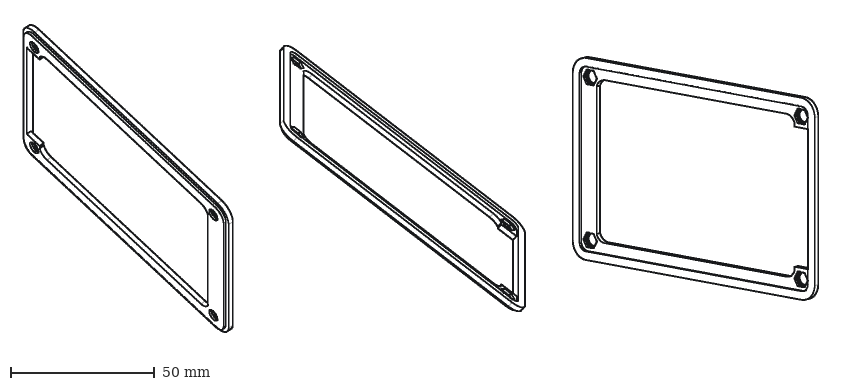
import cadquery as cq
import math

length = 110.0
height = 72.0
corner_radius = 6.0
flange_thickness = 2.0

step_inset = 1.5
step_thickness = 1.0
total_thickness = flange_thickness + step_thickness

hole_diameter = 4.5
hole_x = 48.0
hole_z = 29.0

window_half_length = 45.0
window_half_height = hole_z
window_arc_radius = 4.0
window_corner_drop = 2.8

notch_end_x = -51.9
notch_half_height = 25.0

rim_width = length / 2 + notch_end_x
recess_depth = 1.0
web_thickness = total_thickness - recess_depth

nut_across_flats = 5.3
nut_pocket_depth = 1.0
nut_across_corners = nut_across_flats / math.cos(math.pi / 6)

back_face_y = total_thickness / 2
recess_floor_y = back_face_y - recess_depth


def plate(inset, back_y, thickness):
    """Rounded plate whose rear face is at back_y, extending toward -Y."""
    return (
        cq.Workplane("XZ", origin=(0, back_y, 0))
        .rect(length - 2 * inset, height - 2 * inset)
        .extrude(thickness)
        .edges("|Y")
        .fillet(corner_radius - inset)
    )


def window_cutter():
    """Window opening with a truncated round at each corner and the notch at -X."""
    side_z = window_half_height - window_corner_drop
    arc_center_z = window_half_height - window_arc_radius
    end_angle = math.asin((side_z - arc_center_z) / window_arc_radius)
    arc_run = window_arc_radius * math.cos(end_angle)
    flat_x = window_half_length - arc_run
    mid_angle = (end_angle + math.pi / 2) / 2
    mid_x = flat_x + window_arc_radius * math.cos(mid_angle)
    mid_z = arc_center_z + window_arc_radius * math.sin(mid_angle)

    return (
        cq.Workplane("XZ", origin=(0, back_face_y, 0))
        .moveTo(-flat_x, window_half_height)
        .lineTo(flat_x, window_half_height)
        .threePointArc((mid_x, mid_z), (window_half_length, side_z))
        .lineTo(window_half_length, -side_z)
        .threePointArc((mid_x, -mid_z), (flat_x, -window_half_height))
        .lineTo(-flat_x, -window_half_height)
        .threePointArc((-mid_x, -mid_z), (-window_half_length, -side_z))
        .lineTo(-window_half_length, -notch_half_height)
        .lineTo(notch_end_x, -notch_half_height)
        .lineTo(notch_end_x, notch_half_height)
        .lineTo(-window_half_length, notch_half_height)
        .lineTo(-window_half_length, side_z)
        .threePointArc((-mid_x, mid_z), (-flat_x, window_half_height))
        .close()
        .extrude(total_thickness)
    )


def at_hole_centers(back_y):
    """Workplane at back_y with a point at each of the four screw holes."""
    return (
        cq.Workplane("XZ", origin=(0, back_y, 0))
        .rect(2 * hole_x, 2 * hole_z, forConstruction=True)
        .vertices()
    )


flange = plate(0, back_face_y, flange_thickness)
step = plate(step_inset, back_face_y - flange_thickness, step_thickness)
recess = plate(rim_width, back_face_y, recess_depth)
holes = at_hole_centers(recess_floor_y).circle(hole_diameter / 2).extrude(web_thickness)
nut_pockets = at_hole_centers(recess_floor_y).polygon(6, nut_across_corners).extrude(nut_pocket_depth)

result = (
    flange.union(step)
    .cut(recess)
    .cut(window_cutter())
    .cut(holes)
    .cut(nut_pockets)
)